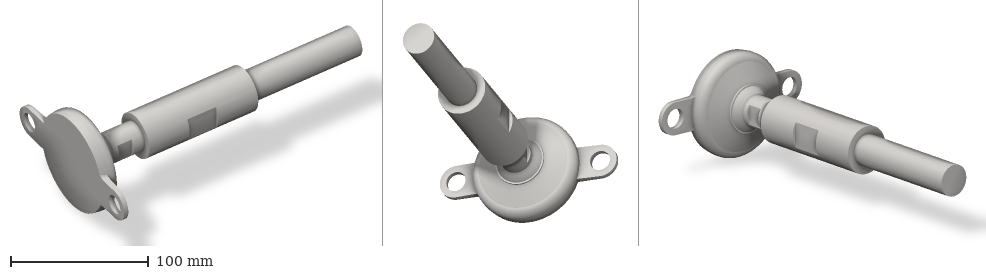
import cadquery as cq
import math

TOTAL_LENGTH = 246.5

ROD_RADIUS = 12.0
SLEEVE_RADIUS = 18.2
SLEEVE_START = 55.7
SLEEVE_END = 151.0
SLEEVE_MIDDLE = (SLEEVE_START + SLEEVE_END) / 2
SLEEVE_FLAT_LENGTH = 25.1
SLEEVE_ACROSS_FLATS = 30.8
NECK_FLAT_MIDDLE = 39.7
NECK_FLAT_LENGTH = 12.5
NECK_ACROSS_FLATS = 18.7

BALL_RADIUS = 20.0
NECK_START = 29.0
BALL_CENTRE = NECK_START - math.sqrt(BALL_RADIUS**2 - ROD_RADIUS**2)

FOOT_DIAMETER = 80.0
FOOT_RADIUS = FOOT_DIAMETER / 2
BASE_RADIUS = 39.2
BASE_TAPER_HEIGHT = 6.0
SHOULDER_START = 8.9
SHOULDER_END = 15.5
SHOULDER_END_RADIUS = 34.0
RIM_RADIUS = 18.5
RIM_START = 21.7
RIM_END = 23.2

EAR_SPACING = 111.0
EAR_RADIUS = 12.5
EAR_HOLE_DIAMETER = 15.0
EAR_ROOT_THICKNESS = 5.2
EAR_TIP_THICKNESS = 3.7
EAR_ROOT_FILLET = 5.0
EAR_TIP = EAR_SPACING / 2 + EAR_RADIUS


def ball_end():
    """Half ball, cut flat across its equator."""
    half_ball = (
        cq.Workplane("XY")
        .moveTo(0, BALL_CENTRE)
        .lineTo(BALL_RADIUS, BALL_CENTRE)
        .radiusArc((0, BALL_CENTRE + BALL_RADIUS), -BALL_RADIUS)
        .close()
    )
    return half_ball.revolve(360, (0, 0), (0, 1))


def cylinder(radius, start, end):
    """Cylinder along Y from start to end."""
    return cq.Workplane("XZ", origin=(0, start, 0)).circle(radius).extrude(start - end)


def wrench_flats(radius, across, length, middle):
    """Material to remove on both X sides of a cylinder to leave a pair of flats."""
    band = cq.Workplane("XY").box(2 * radius, length, 2 * radius)
    core = cq.Workplane("XY").box(across, length, 2 * radius)
    return band.cut(core).translate((0, middle, 0))


def make_stem():
    """Rod with a thick sleeve, two pairs of wrench flats and a ball end."""
    rod = cylinder(ROD_RADIUS, BALL_CENTRE, TOTAL_LENGTH)
    sleeve = cylinder(SLEEVE_RADIUS, SLEEVE_START, SLEEVE_END)
    sleeve_flats = wrench_flats(SLEEVE_RADIUS, SLEEVE_ACROSS_FLATS, SLEEVE_FLAT_LENGTH, SLEEVE_MIDDLE)
    neck_flats = wrench_flats(ROD_RADIUS, NECK_ACROSS_FLATS, NECK_FLAT_LENGTH, NECK_FLAT_MIDDLE)
    return rod.union(sleeve).union(ball_end()).cut(sleeve_flats).cut(neck_flats)


def foot_disc():
    """Turned foot: tapered base, rounded shoulder, conical top and a short rim."""
    profile = (
        cq.Workplane("XY")
        .lineTo(BASE_RADIUS, 0)
        .lineTo(FOOT_RADIUS, BASE_TAPER_HEIGHT)
        .lineTo(FOOT_RADIUS, SHOULDER_START)
        .tangentArcPoint((SHOULDER_END_RADIUS, SHOULDER_END), relative=False)
        .lineTo(RIM_RADIUS, RIM_START)
        .lineTo(RIM_RADIUS, RIM_END)
        .lineTo(0, RIM_END)
        .close()
    )
    return profile.revolve(360, (0, 0), (0, 1))


def ear_strip():
    """Both ears as one round-ended strip, thinning from the disc to the tips."""
    outline = cq.Workplane("XZ").slot2D(2 * EAR_TIP, 2 * EAR_RADIUS).extrude(-EAR_ROOT_THICKNESS)
    thickness = (
        cq.Workplane("XY")
        .moveTo(-EAR_TIP, 0)
        .lineTo(EAR_TIP, 0)
        .lineTo(EAR_TIP, EAR_TIP_THICKNESS)
        .lineTo(FOOT_RADIUS, EAR_ROOT_THICKNESS)
        .lineTo(-FOOT_RADIUS, EAR_ROOT_THICKNESS)
        .lineTo(-EAR_TIP, EAR_TIP_THICKNESS)
        .close()
        .extrude(EAR_RADIUS, both=True)
    )
    return outline.intersect(thickness)


def root_fillet(side):
    """Concave web that blends the disc into the +X ear on one Z side."""
    centre_distance = BASE_RADIUS + EAR_ROOT_FILLET
    centre_z = EAR_RADIUS + EAR_ROOT_FILLET
    centre_x = math.sqrt(centre_distance**2 - centre_z**2)
    disc_share = BASE_RADIUS / centre_distance
    disc_point = (centre_x * disc_share, side * centre_z * disc_share)
    ear_point = (centre_x, side * EAR_RADIUS)
    return (
        cq.Workplane("XZ")
        .lineTo(*disc_point)
        .radiusArc(ear_point, -side * EAR_ROOT_FILLET)
        .close()
        .extrude(-EAR_ROOT_THICKNESS)
    )


def make_foot():
    """Foot with two drilled ears and a seat matching the ball end."""
    foot = foot_disc().union(ear_strip())
    for side in (-1, 1):
        foot = foot.union(root_fillet(side))
    holes = (
        cq.Workplane("XZ")
        .rarray(EAR_SPACING, 2.5, 2, 1)
        .circle(EAR_HOLE_DIAMETER / 2)
        .extrude(-EAR_ROOT_THICKNESS)
    )
    return foot.cut(holes).cut(ball_end())


stem = make_stem()
foot = make_foot()
result = cq.Compound.makeCompound([*stem.vals(), *foot.vals()])